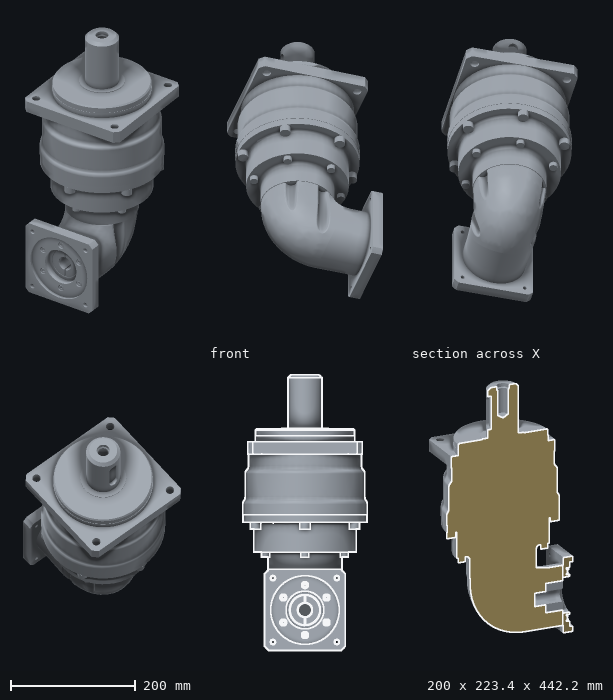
import cadquery as cq
import math


SHAFT_TIP_Z = 377.2
SEAL_TOP_Z = 291.5
PILOT_TOP_Z = 290.5
PILOT_STEP_Z = 279.2
FLANGE_TOP_Z = 270.0
FLANGE_THICKNESS = 20.0
FLANGE_BOTTOM_Z = FLANGE_TOP_Z - FLANGE_THICKNESS
UPPER_BLEND_TOP_Z = 230.8
UPPER_BLEND_MID_Z = 224.0
UPPER_BLEND_BOTTOM_Z = 218.7
LOWER_BLEND_TOP_Z = 180.8
LOWER_BLEND_BOTTOM_Z = 170.0
RING_STEP_Z = 152.5
RING_BOTTOM_Z = 140.5
NECK_BOTTOM_Z = 93.0
COLLAR_BOTTOM_Z = 55.2

SHAFT_R = 55.0 / 2
SEAL_R = 74.0 / 2
PILOT_R = 160.0 / 2
PILOT_TOP_R = PILOT_R - 0.5
UPPER_BODY_R = 182.0 / 2
MIDDLE_BODY_R = 192.5 / 2
RING_R = 200.0 / 2
RING_LOWER_R = RING_R - 0.5
NECK_R = 165.0 / 2
COLLAR_R = 119.0 / 2
SHAFT_CHAMFER = 5.0
PILOT_CHAMFER = 2.5
PILOT_CHAMFER_WIDTH = 1.8
NECK_FILLET = 4.0
COLLAR_FILLET = 5.4

KEYWAY_WIDTH = 16.0
KEYWAY_DEPTH = 6.0
KEYWAY_LENGTH = 56.0
KEYWAY_TOP_GAP = 15.5
CENTRE_MOUTH_R = 21.0 / 2
CENTRE_MOUTH_DEPTH = 6.0
CENTRE_DRILL_R = 17.5 / 2
CENTRE_DRILL_DEPTH = 50.0
DRILL_TIP_HALF_ANGLE = 59.0

FLANGE_SIDE = 184.0
FLANGE_CORNER_R = 249.0 / 2
FLANGE_HOLE_CIRCLE_D = 215.0
FLANGE_HOLE_D = 13.5

SCREW_COUNT = 6
FIRST_SCREW_ANGLE = 30.0
RING_SCREW_CIRCLE_R = 91.5
RING_SCREW_R = 17.0 / 2
RING_SCREW_HEIGHT = 11.0
NECK_SCREW_CIRCLE_R = 73.0
NECK_SCREW_R = 13.0 / 2
NECK_SCREW_HEIGHT = 8.0

TUBE_R = 104.0 / 2
TUBE_START_Y = -78.0
TUBE_END_Y = -106.0
ELBOW_TOP_R = 58.5
ELBOW_OUTER_R = 96.0
ELBOW_STEPS = 5
FLUTE_R = 9.0
FLUTE_X = 51.0
FLUTE_Y = 27.0
FLUTE_LENGTH = 110.0
FLUTE_EDGE_FILLET = 3.0

HUB_BORE_D = 22.0
HUB_BORE_DEPTH = 50.0
HUB_BORE_CHAMFER = 1.0
HUB_R = 23.8
HUB_GAP_R = 24.8
HUB_SLIT_WIDTH = 2.0
HUB_SLIT_DEPTH = 30.0

PLATE_SIDE = 130.0
PLATE_FRONT_Y = -123.35
PLATE_THICKNESS = TUBE_END_Y - PLATE_FRONT_Y
PLATE_CORNER_R = 174.0 / 2
PLATE_RECESS_D = 110.0
PLATE_RECESS_DEPTH = 5.5
PLATE_BORE_D = 60.6
PLATE_HOLE_CIRCLE_D = 145.0
PLATE_HOLE_D = 6.6
PLATE_HOLE_MOUTH_D = 8.2
PLATE_SCREW_CIRCLE_R = 40.0
PLATE_SCREW_POCKET_D = 11.0
PLATE_SCREW_POCKET_DEPTH = 6.0
PLATE_SCREW_HEAD_D = 8.5
PLATE_SCREW_HEAD_HEIGHT = 5.0
HEX_SIDES = 6
HEX_SOCKET_FLATS = 4.0
HEX_SOCKET_DEPTH = 3.0


def cylinder_z(radius, bottom, height):
    return cq.Workplane("XY").workplane(offset=bottom).circle(radius).extrude(height)


def input_plane(y):
    """Plane across the input axis at the given Y, looking inward along +Y."""
    return cq.Workplane(cq.Plane(origin=(0, y, 0), xDir=(1, 0, 0), normal=(0, 1, 0)))


def turned_stack():
    """Shaft, pilot, gear body, ring, neck and collar as one turned profile."""
    upper_blend_mid_r = UPPER_BODY_R + (MIDDLE_BODY_R - UPPER_BODY_R) * (
        UPPER_BLEND_TOP_Z - UPPER_BLEND_MID_Z
    ) / (UPPER_BLEND_TOP_Z - UPPER_BLEND_BOTTOM_Z)
    lower_blend_mid = (
        (MIDDLE_BODY_R + RING_R) / 2,
        (LOWER_BLEND_TOP_Z + LOWER_BLEND_BOTTOM_Z) / 2,
    )
    profile = (
        cq.Workplane("XZ")
        .moveTo(0, SHAFT_TIP_Z)
        .lineTo(SHAFT_R - SHAFT_CHAMFER, SHAFT_TIP_Z)
        .lineTo(SHAFT_R, SHAFT_TIP_Z - SHAFT_CHAMFER)
        .lineTo(SHAFT_R, SEAL_TOP_Z)
        .lineTo(SEAL_R, SEAL_TOP_Z)
        .lineTo(SEAL_R, PILOT_TOP_Z)
        .lineTo(PILOT_TOP_R - PILOT_CHAMFER_WIDTH, PILOT_TOP_Z)
        .lineTo(PILOT_TOP_R, PILOT_TOP_Z - PILOT_CHAMFER)
        .lineTo(PILOT_TOP_R, PILOT_STEP_Z)
        .lineTo(PILOT_R, PILOT_STEP_Z)
        .lineTo(PILOT_R, FLANGE_TOP_Z)
        .lineTo(UPPER_BODY_R, FLANGE_TOP_Z)
        .lineTo(UPPER_BODY_R, UPPER_BLEND_TOP_Z)
        .tangentArcPoint((upper_blend_mid_r, UPPER_BLEND_MID_Z), relative=False)
        .tangentArcPoint((MIDDLE_BODY_R, UPPER_BLEND_BOTTOM_Z), relative=False)
        .lineTo(MIDDLE_BODY_R, LOWER_BLEND_TOP_Z)
        .tangentArcPoint(lower_blend_mid, relative=False)
        .tangentArcPoint((RING_R, LOWER_BLEND_BOTTOM_Z), relative=False)
        .lineTo(RING_R, RING_STEP_Z)
        .lineTo(RING_LOWER_R, RING_STEP_Z)
        .lineTo(RING_LOWER_R, RING_BOTTOM_Z)
        .lineTo(NECK_R + NECK_FILLET, RING_BOTTOM_Z)
        .radiusArc((NECK_R, RING_BOTTOM_Z - NECK_FILLET), -NECK_FILLET)
        .lineTo(NECK_R, NECK_BOTTOM_Z)
        .lineTo(COLLAR_R + COLLAR_FILLET, NECK_BOTTOM_Z)
        .radiusArc((COLLAR_R, NECK_BOTTOM_Z - COLLAR_FILLET), -COLLAR_FILLET)
        .lineTo(COLLAR_R, COLLAR_BOTTOM_Z)
        .lineTo(0, COLLAR_BOTTOM_Z)
        .close()
    )
    return profile.revolve(360, (0, 0, 0), (0, 1, 0))


def keyway():
    """Round-ended key slot on the +Y side of the shaft."""
    centre_z = SHAFT_TIP_Z - KEYWAY_TOP_GAP - KEYWAY_LENGTH / 2
    return (
        cq.Workplane("XZ", origin=(0, SHAFT_R, centre_z))
        .slot2D(KEYWAY_LENGTH, KEYWAY_WIDTH, 90)
        .extrude(KEYWAY_DEPTH)
    )


def shaft_centre_hole():
    """Drilled hole with a wider mouth and a conical end."""
    tip_height = CENTRE_DRILL_R / math.tan(math.radians(DRILL_TIP_HALF_ANGLE))
    mouth_z = SHAFT_TIP_Z - CENTRE_MOUTH_DEPTH
    drill_end_z = SHAFT_TIP_Z - CENTRE_DRILL_DEPTH
    return (
        cq.Workplane("XZ")
        .moveTo(0, SHAFT_TIP_Z)
        .lineTo(CENTRE_MOUTH_R, SHAFT_TIP_Z)
        .lineTo(CENTRE_MOUTH_R, mouth_z)
        .lineTo(CENTRE_DRILL_R, mouth_z - (CENTRE_MOUTH_R - CENTRE_DRILL_R))
        .lineTo(CENTRE_DRILL_R, drill_end_z)
        .lineTo(0, drill_end_z - tip_height)
        .close()
        .revolve(360, (0, 0, 0), (0, 1, 0))
    )


def output_flange():
    """Square flange with its corners turned down to a circle."""
    square = (
        cq.Workplane("XY")
        .workplane(offset=FLANGE_BOTTOM_Z)
        .rect(FLANGE_SIDE, FLANGE_SIDE)
        .extrude(FLANGE_THICKNESS)
    )
    return square.intersect(cylinder_z(FLANGE_CORNER_R, FLANGE_BOTTOM_Z, FLANGE_THICKNESS))


def flange_holes():
    spacing = FLANGE_HOLE_CIRCLE_D / math.sqrt(2)
    return (
        cq.Workplane("XY")
        .workplane(offset=FLANGE_BOTTOM_Z)
        .rect(spacing, spacing, forConstruction=True)
        .vertices()
        .circle(FLANGE_HOLE_D / 2)
        .extrude(FLANGE_THICKNESS)
    )


def screw_heads(circle_r, head_r, top_z, height):
    """Ring of screw heads hanging below a shoulder."""
    return (
        cq.Workplane("XY")
        .workplane(offset=top_z)
        .polarArray(circle_r, FIRST_SCREW_ANGLE, 360, SCREW_COUNT)
        .circle(head_r)
        .extrude(-height)
    )


def elbow_section(outer, inner, half_width):
    """Elliptical elbow section spanning two (Y, Z) points of the side outline."""
    centre_y = (outer[0] + inner[0]) / 2
    centre_z = (outer[1] + inner[1]) / 2
    half_height = math.dist(outer, inner) / 2
    plane = cq.Plane(
        origin=(0, centre_y, centre_z),
        xDir=(0, outer[0] - inner[0], outer[1] - inner[1]),
        normal=(0, outer[1] - inner[1], inner[0] - outer[0]),
    )
    return cq.Workplane(plane).ellipse(half_height, half_width).val()


def elbow():
    """Bend from the collar to the horizontal input tube, its sections fanned round the outer arc."""
    arc_centre_y = ELBOW_TOP_R - ELBOW_OUTER_R
    arc_centre_z = ELBOW_OUTER_R - TUBE_R
    top = elbow_section((ELBOW_TOP_R, COLLAR_BOTTOM_Z), (-ELBOW_TOP_R, COLLAR_BOTTOM_Z), ELBOW_TOP_R)
    end = elbow_section((TUBE_START_Y, -TUBE_R), (TUBE_START_Y, TUBE_R), TUBE_R)
    fan = []
    for step in range(ELBOW_STEPS + 1):
        angle = math.pi / 2 * step / ELBOW_STEPS
        share = (step + 1) / (ELBOW_STEPS + 2)
        outer = (
            arc_centre_y + ELBOW_OUTER_R * math.cos(angle),
            arc_centre_z - ELBOW_OUTER_R * math.sin(angle),
        )
        inner = (
            -ELBOW_TOP_R + share * (TUBE_START_Y + ELBOW_TOP_R),
            COLLAR_BOTTOM_Z + share * (TUBE_R - COLLAR_BOTTOM_Z),
        )
        fan.append(elbow_section(outer, inner, ELBOW_TOP_R + share * (TUBE_R - ELBOW_TOP_R)))
    bend = cq.Workplane(cq.Solid.makeLoft(fan))
    bend = bend.union(cq.Workplane(cq.Solid.makeLoft([top, fan[0]], True)))
    bend = bend.union(cq.Workplane(cq.Solid.makeLoft([fan[-1], end], True)))
    tube = input_plane(TUBE_END_Y).circle(TUBE_R).extrude(TUBE_START_Y - TUBE_END_Y)
    return bend.union(tube)


def flutes():
    """Upright round-bottomed clearances in the elbow flanks."""
    return (
        cq.Workplane("XY")
        .workplane(offset=COLLAR_BOTTOM_Z)
        .rect(2 * FLUTE_X, 2 * FLUTE_Y, forConstruction=True)
        .vertices()
        .circle(FLUTE_R)
        .extrude(-FLUTE_LENGTH)
    )


def fluted_elbow():
    """Elbow with its flutes cut and their flank edges rounded."""
    body = elbow().cut(flutes())
    flank_edges = [
        edge
        for face in body.faces("%CYLINDER").vals()
        if abs(face.Center().x) > FLUTE_X - FLUTE_R
        for edge in face.Edges()
        if edge.Center().z < COLLAR_BOTTOM_Z - FLUTE_EDGE_FILLET
    ]
    return body.newObject(flank_edges).fillet(FLUTE_EDGE_FILLET)


def hub_cavity():
    """Blind bore, clearance gap round the hub, and the clamping slit."""
    face = input_plane(TUBE_END_Y)
    bore = face.circle(HUB_BORE_D / 2).extrude(HUB_BORE_DEPTH)
    mouth = face.circle(HUB_BORE_D / 2 + HUB_BORE_CHAMFER).extrude(HUB_BORE_CHAMFER, taper=45)
    gap = face.circle(HUB_GAP_R).circle(HUB_R).extrude(HUB_SLIT_DEPTH)
    slit = face.rect(HUB_SLIT_WIDTH, 2 * HUB_R).extrude(HUB_SLIT_DEPTH)
    return bore.union(mouth).union(gap).union(slit)


def build_gearbox():
    """Housing with its output shaft, flange, screw heads, elbow and clamping hub."""
    body = turned_stack().union(output_flange())
    body = body.union(fluted_elbow())
    body = body.union(
        screw_heads(RING_SCREW_CIRCLE_R, RING_SCREW_R, RING_BOTTOM_Z, RING_SCREW_HEIGHT)
    )
    body = body.union(
        screw_heads(NECK_SCREW_CIRCLE_R, NECK_SCREW_R, NECK_BOTTOM_Z, NECK_SCREW_HEIGHT)
    )
    return body.cut(flange_holes()).cut(keyway()).cut(shaft_centre_hole()).cut(hub_cavity())


def plate_screw_points(y):
    """Screw positions of the adapter plate, on a plane across the input axis."""
    return input_plane(y).polarArray(PLATE_SCREW_CIRCLE_R, FIRST_SCREW_ANGLE, 360, SCREW_COUNT)


def build_adapter_plate():
    """Square motor plate with a pilot recess, tapped corner holes and sunk socket screws."""
    back = input_plane(TUBE_END_Y)
    front = input_plane(PLATE_FRONT_Y)
    hole_spacing = PLATE_HOLE_CIRCLE_D / math.sqrt(2)
    recess_floor_y = PLATE_FRONT_Y + PLATE_RECESS_DEPTH

    plate = front.rect(PLATE_SIDE, PLATE_SIDE).extrude(PLATE_THICKNESS)
    plate = plate.intersect(back.circle(PLATE_CORNER_R).extrude(-PLATE_THICKNESS))
    plate = plate.cut(front.circle(PLATE_RECESS_D / 2).extrude(PLATE_RECESS_DEPTH))
    plate = plate.cut(front.circle(PLATE_BORE_D / 2).extrude(PLATE_THICKNESS))
    plate = plate.cut(
        front.rect(hole_spacing, hole_spacing, forConstruction=True)
        .vertices()
        .circle(PLATE_HOLE_D / 2)
        .extrude(PLATE_THICKNESS)
    )
    mouth_depth = (PLATE_HOLE_MOUTH_D - PLATE_HOLE_D) / 2
    plate = plate.cut(
        front.rect(hole_spacing, hole_spacing, forConstruction=True)
        .vertices()
        .circle(PLATE_HOLE_MOUTH_D / 2)
        .extrude(mouth_depth, taper=45)
    )
    pocket_floor_y = recess_floor_y + PLATE_SCREW_POCKET_DEPTH
    head_top_y = pocket_floor_y - PLATE_SCREW_HEAD_HEIGHT
    hex_across_corners = HEX_SOCKET_FLATS / math.cos(math.pi / HEX_SIDES)
    pockets = (
        plate_screw_points(recess_floor_y)
        .circle(PLATE_SCREW_POCKET_D / 2)
        .extrude(PLATE_SCREW_POCKET_DEPTH)
    )
    heads = (
        plate_screw_points(head_top_y)
        .circle(PLATE_SCREW_HEAD_D / 2)
        .extrude(PLATE_SCREW_HEAD_HEIGHT)
    )
    sockets = (
        plate_screw_points(head_top_y)
        .polygon(HEX_SIDES, hex_across_corners)
        .extrude(HEX_SOCKET_DEPTH)
    )
    return plate.cut(pockets).union(heads).cut(sockets)


gearbox = build_gearbox()
adapter_plate = build_adapter_plate()
result = cq.Compound.makeCompound([gearbox.val(), adapter_plate.val()])